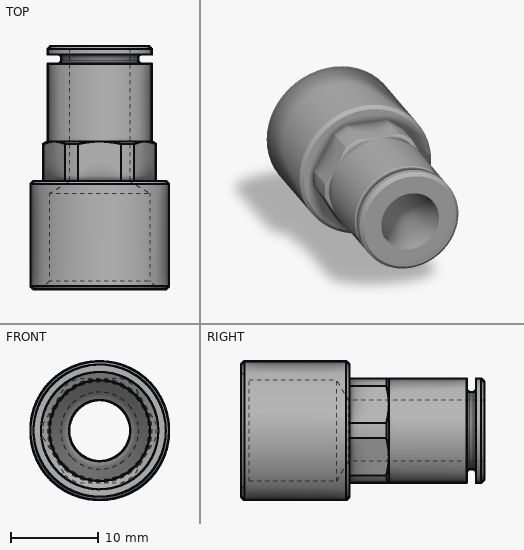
import cadquery as cq
import math

LENGTH = 28.0
SOCKET_DIAMETER = 16.0
SOCKET_LENGTH = 12.5
BODY_DIAMETER = 12.0
BODY_LENGTH = 9.0
EDGE_CHAMFER = 0.4

COLLAR_WIDTH = 1.0
NECK_WIDTH = 1.0
NECK_DIAMETER = 8.9
NECK_FILLET = 0.3
BODY_CHAMFER = 0.08

HEX_FLATS = BODY_DIAMETER
HEX_CORNER_DIAMETER = 13.0
HEX_CHAMFER_ANGLE = 30.0

THROUGH_DIAMETER = 7.0
SOCKET_BORE_DIAMETER = 11.6
MOUTH_DIAMETER = 13.5
MOUTH_ANGLE = 45.0
SOCKET_BORE_DEPTH = 11.0
DRILL_POINT_ANGLE = 118.0

MOUTH_Y = -LENGTH / 2
SHOULDER_Y = MOUTH_Y + SOCKET_LENGTH
COLLAR_END_Y = LENGTH / 2
COLLAR_START_Y = COLLAR_END_Y - COLLAR_WIDTH
BODY_END_Y = COLLAR_START_Y - NECK_WIDTH
HEX_END_Y = BODY_END_Y - BODY_LENGTH


def cylinder(diameter, start_y, end_y):
    """Solid cylinder on the Y axis."""
    return cq.Workplane("XZ", origin=(0, start_y, 0)).circle(diameter / 2).extrude(start_y - end_y)


def revolve_profile(points):
    """Turn a closed (radius, y) outline about the Y axis."""
    return cq.Workplane("XY").polyline(points).close().revolve(360, (0, 0), (0, 1))


def make_socket():
    return cylinder(SOCKET_DIAMETER, MOUTH_Y, SHOULDER_Y).faces("<Y or >Y").chamfer(EDGE_CHAMFER)


def make_hexagon():
    """Hexagon with flats facing +/-Z, turned down to rounded, chamfered corners."""
    across_points = HEX_FLATS / math.cos(math.radians(30))
    hexagon = (
        cq.Workplane("XZ", origin=(0, SHOULDER_Y, 0))
        .polygon(6, across_points)
        .extrude(SHOULDER_Y - HEX_END_Y)
    )
    corner_radius = HEX_CORNER_DIAMETER / 2
    flat_radius = HEX_FLATS / 2
    drop = (corner_radius - flat_radius) * math.tan(math.radians(HEX_CHAMFER_ANGLE))
    turned = revolve_profile([
        (0, SHOULDER_Y),
        (corner_radius, SHOULDER_Y),
        (corner_radius, HEX_END_Y - drop),
        (flat_radius, HEX_END_Y),
        (0, HEX_END_Y),
    ])
    return hexagon.intersect(turned)


def make_body():
    return cylinder(BODY_DIAMETER, HEX_END_Y, BODY_END_Y).faces(">Y").chamfer(BODY_CHAMFER)


def make_collar():
    """Collar disc and neck, the neck flaring into both neighbouring faces."""
    neck_radius = NECK_DIAMETER / 2
    flare_radius = neck_radius + NECK_FILLET
    collar_radius = BODY_DIAMETER / 2
    outline = (
        cq.Workplane("XY")
        .moveTo(0, BODY_END_Y)
        .lineTo(flare_radius, BODY_END_Y)
        .radiusArc((neck_radius, BODY_END_Y + NECK_FILLET), NECK_FILLET)
        .lineTo(neck_radius, COLLAR_START_Y - NECK_FILLET)
        .radiusArc((flare_radius, COLLAR_START_Y), NECK_FILLET)
        .lineTo(collar_radius, COLLAR_START_Y)
        .lineTo(collar_radius, COLLAR_END_Y - EDGE_CHAMFER)
        .lineTo(collar_radius - EDGE_CHAMFER, COLLAR_END_Y)
        .lineTo(0, COLLAR_END_Y)
        .close()
    )
    return outline.revolve(360, (0, 0), (0, 1))


def make_bore():
    """Mouth cone, socket bore, drill-point cone and through hole."""
    through_radius = THROUGH_DIAMETER / 2
    bore_radius = SOCKET_BORE_DIAMETER / 2
    mouth_radius = MOUTH_DIAMETER / 2
    mouth_depth = (mouth_radius - bore_radius) / math.tan(math.radians(MOUTH_ANGLE))
    point_depth = (bore_radius - through_radius) / math.tan(math.radians(DRILL_POINT_ANGLE / 2))
    bore_end_y = MOUTH_Y + SOCKET_BORE_DEPTH
    return revolve_profile([
        (0, MOUTH_Y),
        (mouth_radius, MOUTH_Y),
        (bore_radius, MOUTH_Y + mouth_depth),
        (bore_radius, bore_end_y),
        (through_radius, bore_end_y + point_depth),
        (through_radius, COLLAR_END_Y),
        (0, COLLAR_END_Y),
    ])


outside = make_socket().union(make_hexagon()).union(make_body()).union(make_collar())
result = outside.cut(make_bore())